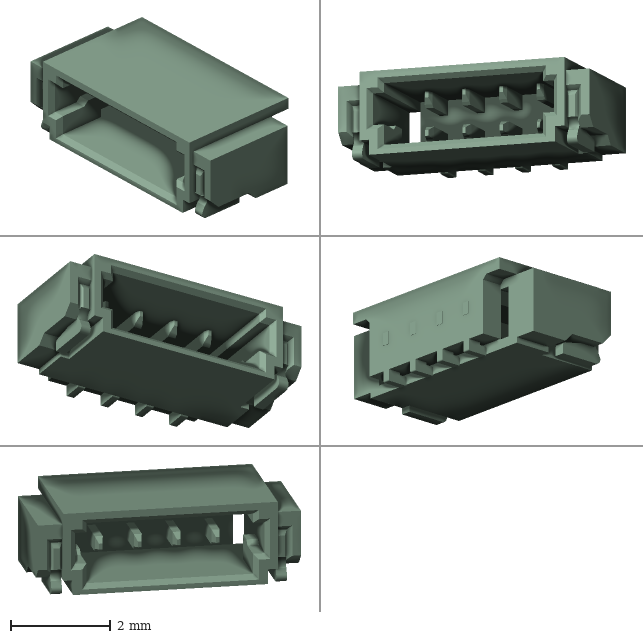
import cadquery as cq


OVERALL_LENGTH = 5.4
OVERALL_DEPTH = 2.7
OVERALL_HEIGHT = 1.75
REAR_BUMP = 0.01
BODY_DEPTH = OVERALL_DEPTH - REAR_BUMP
BODY_HALF = 2.2
BODY_BOTTOM = 0.03
SLAB_BOTTOM = 1.5
LEAD_IN = 0.1

CAVITY_HALF = 1.71
CAVITY_FLOOR = 0.235
REAR_WALL_Y = 2.2
KEY_HALF = 1.945
KEY_FLOOR = 0.655
KEY_TOP = 1.305
KEY_STEP = 0.1
KEY_STEP_Y = 0.68
KEY_DROP_Y = 1.13

RECESS_CHAMFER = 0.1
RECESS_BOTTOM = 0.245

WING_HALF = OVERALL_LENGTH / 2
WING_FRONT = 0.115
WING_DEPTH = 2.1
WING_REAR = WING_FRONT + WING_DEPTH
WING_BOTTOM = 0.15
RELIEF_HALF = 2.0
RELIEF_TOP = 0.34
RELIEF_REAR = 1.35
FRONT_BEVEL_TOP = 0.56

TAB_OUTER = 2.42
TAB_INNER = BODY_HALF
TAB_TOP = 1.095
TAB_TIP_Y = 0.14
TAB_TIP_BOTTOM = 0.54
TAB_BACK_Y = 0.7
TAB_HEEL_Y = 1.16
TAB_HEEL_RADIUS = 0.07
TAB_HEEL_TOP = 0.255
TAB_INSTEP_Y = 0.76
TAB_INSTEP_Z = 0.315
TAB_TOE_Y = 0.16
TAB_TOE_Z = 0.16
TAB_TOE_TOP_Y = 0.22
TAB_TOE_TOP = 0.285
TAB_NECK_Y = 0.28
TAB_NECK_Z = 0.42
TAB_SOLE_Y = 0.27
TAB_TIP_BEVEL = 0.05
TAB_SIDE_BEVEL = 0.045
TAB_TOP_BEVEL = 0.105

PITCH = 0.8
TERMINAL_COUNT = 4
TERMINAL_WIDTH = 0.165
PRONG_TIP_WIDTH = 0.07
PRONG_TIP_HEIGHT = 0.12
PRONG_TIP_Y = 1.2
PRONG_CHIN = 0.06
LOWER_PRONG_TAPER = 0.2
UPPER_PRONG_TAPER = 0.1
LOWER_PRONG = (0.49, 0.81)
UPPER_PRONG = (1.19, SLAB_BOTTOM)
LOWER_TIP_CENTER = 0.65
UPPER_TIP_CENTER = UPPER_PRONG[1] - PRONG_TIP_HEIGHT / 2
SPINE = (0.79, 1.06)
FOOT_HEIGHT = 0.19
FOOT_STEP_Y = 2.39
FOOT_RADIUS = 0.03


def box(x0, x1, y0, y1, z0, z1):
    """Axis-aligned box between two corners."""
    return cq.Workplane("XY").box(x1 - x0, y1 - y0, z1 - z0, centered=False).translate((x0, y0, z0))


def extrude_x(profile, x0, x1):
    """Extrude a closed (Y, Z) profile from x0 to x1."""
    return profile.extrude(x1 - x0).translate((x0, 0, 0))


def lead_in_cut(half_width, bottom, top, front):
    """Opening in an XZ face, wider by LEAD_IN at the face, narrowing at 45 degrees."""
    height = top - bottom
    return (
        cq.Workplane("XZ", origin=(0, front, (bottom + top) / 2))
        .rect(2 * (half_width + LEAD_IN), height + 2 * LEAD_IN)
        .workplane(offset=-LEAD_IN)
        .rect(2 * half_width, height)
        .loft(ruled=True)
    )


def both_sides(solid):
    """A solid together with its mirror image across the YZ plane."""
    return solid.union(solid.mirror("YZ"))


def make_housing():
    body = box(-BODY_HALF, BODY_HALF, 0, BODY_DEPTH, BODY_BOTTOM, OVERALL_HEIGHT)
    wings = box(-WING_HALF, WING_HALF, WING_FRONT, WING_REAR, WING_BOTTOM, SLAB_BOTTOM)
    bevel_run = FRONT_BEVEL_TOP - RELIEF_TOP
    bevel = extrude_x(
        cq.Workplane("YZ").polyline([
            (WING_FRONT, FRONT_BEVEL_TOP),
            (WING_FRONT + bevel_run, RELIEF_TOP),
            (WING_FRONT, RELIEF_TOP),
        ]).close(),
        BODY_HALF,
        WING_HALF,
    )
    return body.union(wings.cut(both_sides(bevel)))


def make_cavity():
    main = box(-CAVITY_HALF, CAVITY_HALF, 0, REAR_WALL_Y, CAVITY_FLOOR, SLAB_BOTTOM)
    keyway_profile = cq.Workplane("YZ").polyline([
        (0, KEY_FLOOR),
        (KEY_STEP_Y, KEY_FLOOR),
        (KEY_STEP_Y + KEY_STEP, KEY_FLOOR + KEY_STEP),
        (KEY_DROP_Y, KEY_FLOOR + KEY_STEP),
        (KEY_DROP_Y, CAVITY_FLOOR),
        (BODY_DEPTH, CAVITY_FLOOR),
        (BODY_DEPTH, KEY_TOP),
        (0, KEY_TOP),
    ]).close()
    keyways = both_sides(extrude_x(keyway_profile, CAVITY_HALF, KEY_HALF))
    main_mouth = lead_in_cut(CAVITY_HALF, CAVITY_FLOOR, SLAB_BOTTOM, 0)
    keyway_mouth = lead_in_cut(KEY_HALF, KEY_FLOOR, KEY_TOP, 0)
    return main.union(keyways).union(main_mouth).union(keyway_mouth)


def make_rear_recess():
    """Clearance beside and below the rear block, leaving the roof slab overhanging."""
    side = (
        cq.Workplane("XZ", origin=(0, BODY_DEPTH, 0))
        .polyline([
            (CAVITY_HALF, 0),
            (CAVITY_HALF, SLAB_BOTTOM - RECESS_CHAMFER),
            (CAVITY_HALF + RECESS_CHAMFER, SLAB_BOTTOM),
            (BODY_HALF, SLAB_BOTTOM),
            (BODY_HALF, 0),
        ])
        .close()
        .extrude(BODY_DEPTH - WING_REAR)
    )
    underside = box(-BODY_HALF, BODY_HALF, WING_REAR, BODY_DEPTH, 0, RECESS_BOTTOM)
    return both_sides(side).union(underside)


def make_foot_relief():
    """Clearance above the solder tab feet, under the wings and the body edges."""
    slope_run = RELIEF_TOP - WING_BOTTOM
    profile = cq.Workplane("YZ").polyline([
        (0, 0),
        (0, RELIEF_TOP),
        (RELIEF_REAR - slope_run, RELIEF_TOP),
        (RELIEF_REAR, WING_BOTTOM),
        (RELIEF_REAR, 0),
    ]).close()
    return both_sides(extrude_x(profile, RELIEF_HALF, WING_HALF))


def make_tab_pocket():
    """Slot in each wing for a solder tab, with a lead-in at its front."""
    mouth = lead_in_cut(TAB_OUTER, 0, TAB_TOP, WING_FRONT)
    body_core = box(-BODY_HALF, BODY_HALF, 0, BODY_DEPTH, -LEAD_IN, OVERALL_HEIGHT)
    slot = box(TAB_INNER, TAB_OUTER, WING_FRONT, TAB_BACK_Y, 0, TAB_TOP)
    return mouth.cut(body_core).union(both_sides(slot))


def make_tab():
    """Solder tab on the +X side: an upright blade with a necked front and a flat foot."""
    blade = extrude_x(
        cq.Workplane("YZ")
        .moveTo(TAB_SOLE_Y, 0)
        .lineTo(TAB_HEEL_Y, 0)
        .lineTo(TAB_HEEL_Y, TAB_HEEL_TOP - TAB_HEEL_RADIUS)
        .radiusArc((TAB_HEEL_Y - TAB_HEEL_RADIUS, TAB_HEEL_TOP), -TAB_HEEL_RADIUS)
        .lineTo(TAB_INSTEP_Y, TAB_INSTEP_Z)
        .lineTo(TAB_BACK_Y, RELIEF_TOP)
        .lineTo(TAB_BACK_Y, TAB_TOP)
        .lineTo(TAB_TIP_Y, TAB_TOP)
        .lineTo(TAB_TIP_Y, TAB_TIP_BOTTOM)
        .threePointArc((TAB_NECK_Y, TAB_NECK_Z), (TAB_TOE_TOP_Y, TAB_TOE_TOP))
        .lineTo(TAB_TOE_Y, TAB_TOE_Z)
        .tangentArcPoint((TAB_SOLE_Y, 0), relative=False)
        .close(),
        TAB_INNER,
        TAB_OUTER,
    )
    return blade.cut(make_tab_bevel())


def make_tab_bevel():
    """Material removed around the tab tip, leaving a smaller flat end face."""
    bevel_end = TAB_TIP_Y + TAB_TIP_BEVEL
    envelope = box(TAB_INNER, TAB_OUTER, TAB_TIP_Y, bevel_end, TAB_TIP_BOTTOM, TAB_TOP)
    middle = (TAB_INNER + TAB_OUTER) / 2
    width = TAB_OUTER - TAB_INNER
    height = TAB_TOP - TAB_TIP_BOTTOM
    tip = (
        cq.Workplane("XZ", origin=(middle, bevel_end, TAB_TIP_BOTTOM))
        .center(0, height / 2)
        .rect(width, height)
        .workplane(offset=TAB_TIP_BEVEL)
        .center(0, -TAB_TOP_BEVEL / 2)
        .rect(width - 2 * TAB_SIDE_BEVEL, height - TAB_TOP_BEVEL)
        .loft(ruled=True)
    )
    return envelope.cut(tip)


def make_prong(root, tip_center, taper_length):
    """Contact prong on the rear wall, tapered to a small tip; root gives its bottom and top."""
    bottom, top = root
    taper_bottom = bottom + PRONG_CHIN
    middle = (taper_bottom + top) / 2
    taper_start = PRONG_TIP_Y + taper_length
    half_width = TERMINAL_WIDTH / 2
    bar = box(-half_width, half_width, taper_start, REAR_WALL_Y, bottom, top)
    bar = bar.faces("<Y").edges("<Z").chamfer(PRONG_CHIN)
    taper = (
        cq.Workplane("XZ", origin=(0, taper_start, middle))
        .rect(TERMINAL_WIDTH, top - taper_bottom)
        .workplane(offset=taper_length)
        .center(0, tip_center - middle)
        .rect(PRONG_TIP_WIDTH, PRONG_TIP_HEIGHT)
        .loft(ruled=True)
    )
    return bar.union(taper)


def make_terminal():
    """One terminal at X = 0: two prongs, the exposed rear of its spine and a solder foot."""
    half_width = TERMINAL_WIDTH / 2
    spine = box(-half_width, half_width, REAR_WALL_Y, OVERALL_DEPTH, *SPINE)
    foot = box(-half_width, half_width, WING_REAR, BODY_DEPTH, 0, FOOT_HEIGHT)
    foot = foot.edges("|X and (<Z or <Y)").fillet(FOOT_RADIUS)
    heel = box(-half_width, half_width, FOOT_STEP_Y, BODY_DEPTH, FOOT_HEIGHT, RECESS_BOTTOM)
    lower = make_prong(LOWER_PRONG, LOWER_TIP_CENTER, LOWER_PRONG_TAPER)
    upper = make_prong(UPPER_PRONG, UPPER_TIP_CENTER, UPPER_PRONG_TAPER)
    return lower.union(upper).union(spine).union(foot).union(heel)


result = make_housing()
for cut in (make_cavity(), make_rear_recess(), make_foot_relief(), make_tab_pocket()):
    result = result.cut(cut)

result = result.union(both_sides(make_tab()))

terminal = make_terminal()
for index in range(TERMINAL_COUNT):
    terminal_x = (index - (TERMINAL_COUNT - 1) / 2) * PITCH
    result = result.union(terminal.translate((terminal_x, 0, 0)))